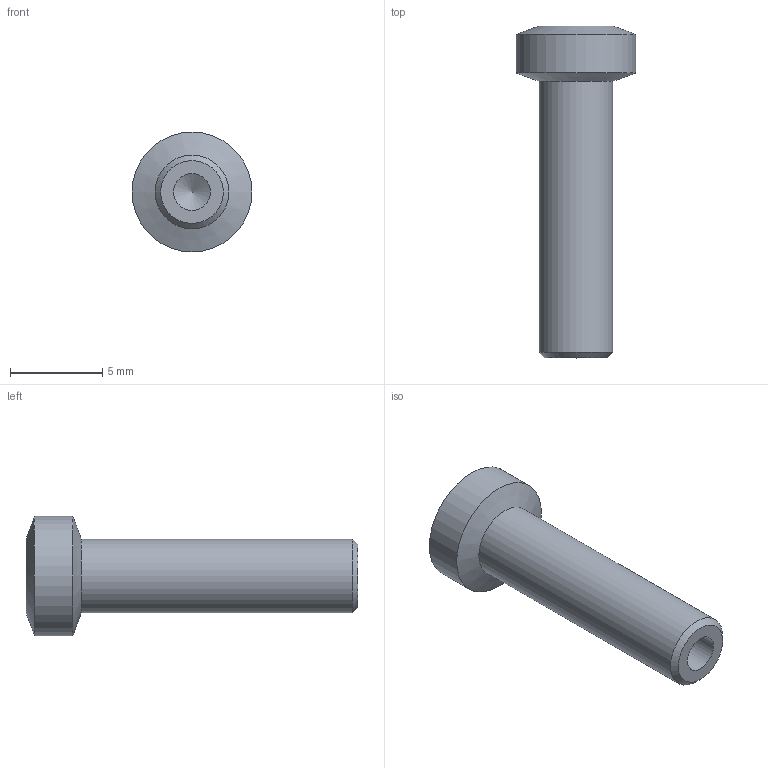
import cadquery as cq
import math

total_length = 18.0
head_diameter = 6.5
head_length = 3.0
shank_diameter = 4.0
tip_chamfer = 0.3

head_slope_angle = 20.0

hole_diameter = 2.0
hole_depth = 10.0
drill_point_angle = 120.0

head_radius = head_diameter / 2
shank_radius = shank_diameter / 2
hole_radius = hole_diameter / 2
head_slope_length = (head_radius - shank_radius) * math.tan(math.radians(head_slope_angle))
drill_point_length = hole_radius / math.tan(math.radians(drill_point_angle / 2))

tip_y = 0.0
head_bottom_y = total_length - head_length
head_top_y = total_length
hole_end_y = tip_y + hole_depth


def revolve_about_y(profile):
    """Turn a closed (radius, y) outline about the Y axis."""
    return cq.Workplane("XY").polyline(profile).close().revolve(360, (0, 0, 0), (0, 1, 0))


def make_pin():
    """Shank with a chamfered tip and a head that is conical on both faces."""
    return revolve_about_y([
        (0, tip_y),
        (shank_radius - tip_chamfer, tip_y),
        (shank_radius, tip_y + tip_chamfer),
        (shank_radius, head_bottom_y),
        (head_radius, head_bottom_y + head_slope_length),
        (head_radius, head_top_y - head_slope_length),
        (shank_radius, head_top_y),
        (0, head_top_y),
    ])


def make_hole():
    """Drilled hole from the tip, ending in a conical drill point."""
    return revolve_about_y([
        (0, tip_y),
        (hole_radius, tip_y),
        (hole_radius, hole_end_y),
        (0, hole_end_y + drill_point_length),
    ])


result = make_pin().cut(make_hole())